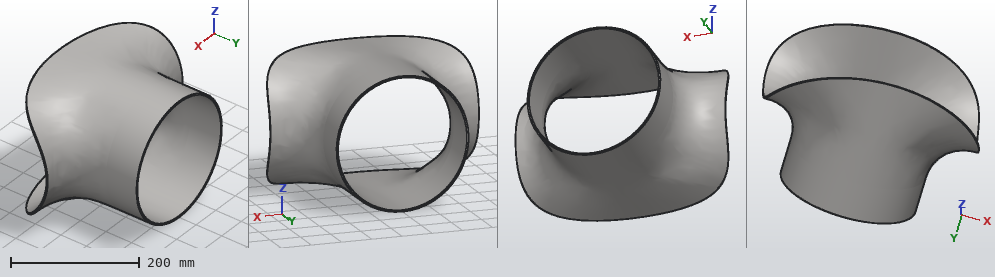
import cadquery as cq
import math


OUTER_DIAMETER = 219.0
INNER_DIAMETER = 213.2
TOTAL_HEIGHT = 234.5
TUBE_LENGTH = 59.7
SADDLE_LENGTH = 345.0

RIM_FULLNESS = 2.15
PROFILE_FULLNESS = 0.6

PROFILE_COUNT = 96
PROFILE_STEPS = 16
TANGENT_STEP = 0.001
FIT_TOLERANCE = 0.0005
MAX_DEGREE = 5
SEW_TOLERANCE = 0.01

OUTER_RADIUS = OUTER_DIAMETER / 2
INNER_RADIUS = INNER_DIAMETER / 2
WALL = OUTER_RADIUS - INNER_RADIUS
FLARE_TOP = TOTAL_HEIGHT - TUBE_LENGTH
LIP_WIDTH = WALL
HALF_LENGTH = SADDLE_LENGTH / 2


def rim_position(angle):
    """Rim point unrolled from the run pipe: (x, angle around the pipe from +Y)."""
    drop = math.sin(angle) ** 2
    x = HALF_LENGTH * math.sqrt(max(0.0, 1 - drop ** RIM_FULLNESS))
    pipe_angle = math.acos(1 - drop)
    return math.copysign(x, math.cos(angle)), math.copysign(pipe_angle, math.sin(angle))


def rim_frame(angle):
    """Rim position and the unit direction across the rim, pointing away from the tube.

    Both are unrolled; the direction is given as (along x, around the pipe).
    """
    x, turn = rim_position(angle)
    x_before, turn_before = rim_position(angle - TANGENT_STEP)
    x_after, turn_after = rim_position(angle + TANGENT_STEP)
    along_x = x_after - x_before
    along_turn = (turn_after - turn_before) * OUTER_RADIUS
    length = math.hypot(along_x, along_turn)
    return x, turn, along_turn / length, -along_x / length


def on_run_pipe(radius, x, turn):
    return cq.Vector(x, radius * math.cos(turn), radius * math.sin(turn))


def rim_point(radius, angle):
    x, turn = rim_position(angle)
    return on_run_pipe(radius, x, turn)


def lip_point(radius, angle):
    """Point where the flare meets the lip, one lip width inside the rim."""
    x, turn, across_x, across_turn = rim_frame(angle)
    return on_run_pipe(
        radius,
        x - LIP_WIDTH * across_x,
        turn - LIP_WIDTH * across_turn / OUTER_RADIUS,
    )


def flare_profile(radius, angle):
    """Cubic curve leaving the tube along -Y and landing flush on the run pipe."""
    start = cq.Vector(radius * math.cos(angle), FLARE_TOP, radius * math.sin(angle))
    end = lip_point(radius, angle)
    _, turn, across_x, across_turn = rim_frame(angle)
    landing = cq.Vector(
        across_x,
        -across_turn * math.sin(turn),
        across_turn * math.cos(turn),
    )
    start_pull = PROFILE_FULLNESS * (start.y - end.y)
    end_pull = PROFILE_FULLNESS * (end - start).dot(landing)
    start_handle = start - cq.Vector(0, start_pull, 0)
    end_handle = end - landing * end_pull

    points = []
    for step in range(PROFILE_STEPS + 1):
        t = step / PROFILE_STEPS
        s = 1 - t
        points.append(
            start * s**3
            + start_handle * (3 * s**2 * t)
            + end_handle * (3 * s * t**2)
            + end * t**3
        )
    return points


def ring_angles(count):
    """Angles around the branch axis, spaced to make PROFILE_COUNT steps per turn."""
    return [2 * math.pi * i / PROFILE_COUNT for i in range(count)]


def flare_face(radius):
    """Smooth closed band through the flare profiles taken all round the branch axis."""
    profiles = [flare_profile(radius, angle) for angle in ring_angles(PROFILE_COUNT + 1)]
    return cq.Face.makeSplineApprox(profiles, tol=FIT_TOLERANCE, maxDeg=MAX_DEGREE)


def ring_edge(point_at, radius):
    """Closed smooth edge through the rim or lip points of one skin."""
    points = [point_at(radius, angle) for angle in ring_angles(PROFILE_COUNT)]
    return cq.Edge.makeSpline(points, periodic=True)


def lip_face(radius):
    """Narrow band of the run pipe between the end of the flare and the rim."""
    return cq.Face.makeRuledSurface(ring_edge(rim_point, radius), ring_edge(lip_point, radius))


def tube_circle(radius, height):
    return cq.Edge.makeCircle(radius, cq.Vector(0, height, 0), cq.Vector(0, -1, 0))


def tube_face(radius):
    """Cylindrical wall of the straight part of the branch."""
    return cq.occ_impl.shapes.extrude(tube_circle(radius, FLARE_TOP), cq.Vector(0, TUBE_LENGTH, 0))


def skin_faces(radius):
    """One side of the wall, from the rim to the free end of the tube."""
    return [lip_face(radius), flare_face(radius), tube_face(radius)]


rim_face = cq.Face.makeRuledSurface(
    ring_edge(rim_point, OUTER_RADIUS),
    ring_edge(rim_point, INNER_RADIUS),
)
tube_end_face = cq.Face.makeFromWires(
    cq.Wire.assembleEdges([tube_circle(OUTER_RADIUS, TOTAL_HEIGHT)]),
    [cq.Wire.assembleEdges([tube_circle(INNER_RADIUS, TOTAL_HEIGHT)])],
)

all_faces = skin_faces(OUTER_RADIUS) + skin_faces(INNER_RADIUS) + [rim_face, tube_end_face]
closed_shell = cq.occ_impl.shapes.shell(*all_faces, tol=SEW_TOLERANCE)
result = cq.Workplane(obj=cq.occ_impl.shapes.solid(closed_shell))